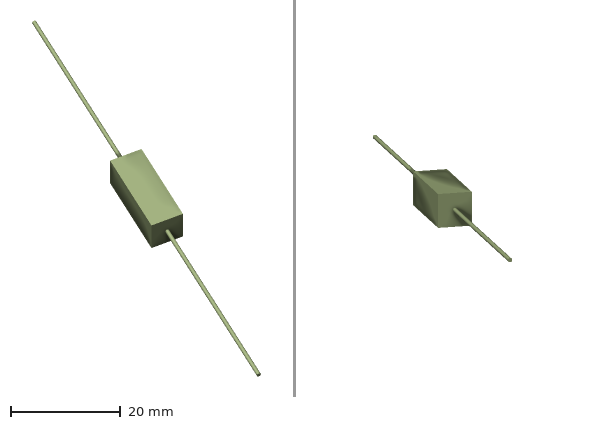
import cadquery as cq

overall_length = 93.7
body_length = 17.2
body_side = 6.4
lead_diameter = 0.8

body = cq.Workplane("XY").box(body_length, body_side, body_side)

leads = (
    cq.Workplane("YZ")
    .circle(lead_diameter / 2)
    .extrude(overall_length / 2, both=True)
)

result = body.union(leads)